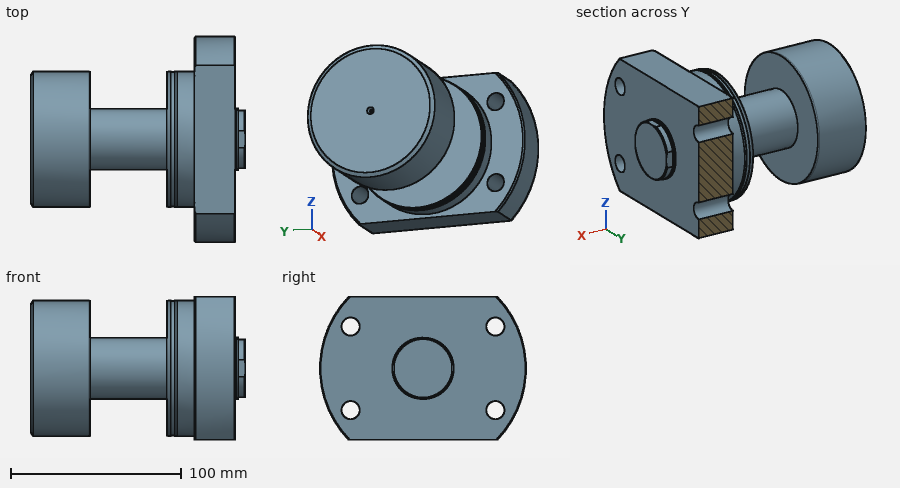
import cadquery as cq
import math

head_length = 35.0
gland_start = 80.0
flange_start = 96.0
flange_end = 120.0
collar_start = 120.7
rod_end = 121.7
overall_length = 126.0

lead_length = 1.0
lead_angle = math.radians(15)
lead_depth = lead_length * math.tan(lead_angle)

head_radius = 39.85
head_chamfer_depth = 2.5
head_chamfer_angle = math.radians(30)
head_chamfer_length = head_chamfer_depth * math.tan(head_chamfer_angle)
rod_radius = 18.0
collar_radius = 18.1
tail_radius = 17.7
tail_chamfer = 0.6
tail_flat_width = 34.0

centre_mouth_radius = 2.125
centre_drill_radius = 1.0
centre_drill_depth = 5.0
centre_half_angle = math.radians(30)
drill_tip_half_angle = math.radians(59)

boss_radius = 39.85
land_radius = 39.8
land_end = 86.1
groove_start = 82.3
groove_end = 84.6
groove_radius = 39.5
flange_radius = 60.5
flange_height = 84.0
flange_front_chamfer = 1.0
flange_rear_chamfer = 0.5
bolt_circle_radius = 49.0
bolt_hole_diameter = 10.5
bolt_angles = (30, 150, 210, 330)


def revolve_about_x(points):
    """Solid of revolution about the X axis from a closed outline of (x, radius) points."""
    return cq.Workplane("XY").polyline(points).close().revolve(360, (0, 0, 0), (1, 0, 0))


def make_centre_hole():
    """Countersunk drilling with a conical bottom."""
    countersink_depth = (centre_mouth_radius - centre_drill_radius) / math.tan(centre_half_angle)
    tip_depth = centre_drill_depth + centre_drill_radius / math.tan(drill_tip_half_angle)
    return revolve_about_x([
        (0, 0),
        (0, centre_mouth_radius),
        (countersink_depth, centre_drill_radius),
        (centre_drill_depth, centre_drill_radius),
        (tip_depth, 0),
    ])


def make_tail():
    """Short end of the rod with four flats milled around it."""
    length = overall_length - rod_end
    tail = (
        cq.Workplane("YZ", origin=(rod_end, 0, 0))
        .circle(tail_radius)
        .extrude(length)
        .faces(">X")
        .chamfer(tail_chamfer)
    )
    flats = (
        cq.Workplane("YZ", origin=(rod_end, 0, 0))
        .rect(tail_flat_width, tail_flat_width)
        .extrude(length)
    )
    return tail.intersect(flats)


def make_rod():
    """Head, rod, collar and tail in one piece, with a centre hole in the head."""
    body = revolve_about_x([
        (0, 0),
        (0, head_radius - head_chamfer_depth),
        (head_chamfer_length, head_radius),
        (head_length - lead_length, head_radius),
        (head_length, head_radius - lead_depth),
        (head_length, rod_radius),
        (collar_start, rod_radius),
        (collar_start, collar_radius),
        (rod_end, collar_radius),
        (rod_end, 0),
    ])
    return body.union(make_tail()).cut(make_centre_hole())


def make_boss():
    """Grooved spigot in front of the flange."""
    return revolve_about_x([
        (gland_start, 0),
        (gland_start, land_radius - lead_depth),
        (gland_start + lead_length, land_radius),
        (groove_start, land_radius),
        (groove_start, groove_radius),
        (groove_end, groove_radius),
        (groove_end, land_radius),
        (land_end, land_radius),
        (land_end, boss_radius),
        (flange_start, boss_radius),
        (flange_start, 0),
    ])


def make_flange():
    """Round flange with chamfered rims, cut flat on top and bottom."""
    thickness = flange_end - flange_start
    disc = (
        cq.Workplane("YZ", origin=(flange_start, 0, 0))
        .circle(flange_radius)
        .extrude(thickness)
        .faces("<X")
        .chamfer(flange_front_chamfer)
        .faces(">X")
        .chamfer(flange_rear_chamfer)
    )
    slab = (
        cq.Workplane("YZ", origin=(flange_start, 0, 0))
        .rect(2 * flange_radius, flange_height)
        .extrude(thickness)
    )
    hole_centres = [
        (
            bolt_circle_radius * math.cos(math.radians(angle)),
            bolt_circle_radius * math.sin(math.radians(angle)),
        )
        for angle in bolt_angles
    ]
    holes = (
        cq.Workplane("YZ", origin=(flange_start, 0, 0))
        .pushPoints(hole_centres)
        .circle(bolt_hole_diameter / 2)
        .extrude(thickness)
    )
    return disc.intersect(slab).cut(holes)


def make_gland():
    """Boss and flange in one piece, bored through for the rod."""
    bore = (
        cq.Workplane("YZ", origin=(gland_start, 0, 0))
        .circle(rod_radius)
        .extrude(flange_end - gland_start)
    )
    return make_boss().union(make_flange()).cut(bore)


rod = make_rod()
gland = make_gland()

result = cq.Compound.makeCompound([rod.val(), gland.val()])